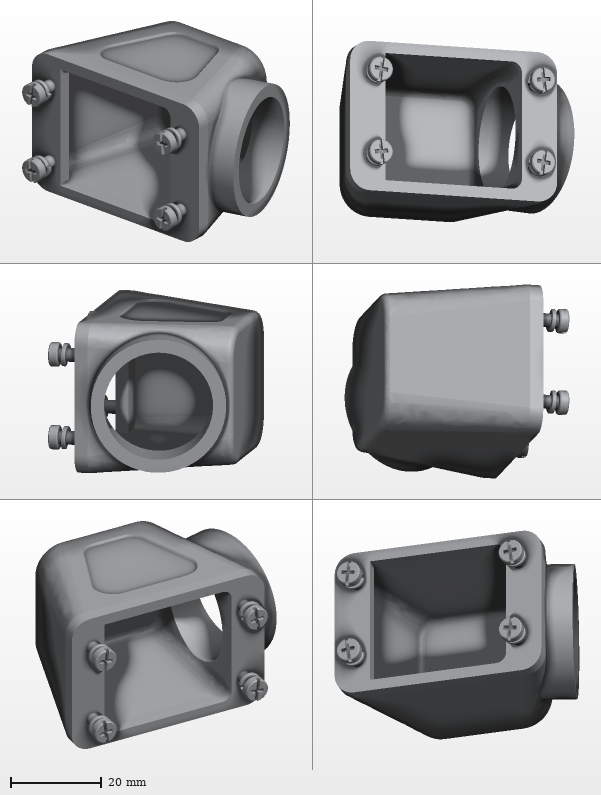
import cadquery as cq
import math

OVERALL_WIDTH = 53.65
FLANGE_WIDTH = 48.0
FLANGE_HEIGHT = 33.8
FLANGE_DEPTH = 3.0
FLANGE_CORNER = 4.55

HOOD_DEPTH = 34.0
SIDE_DRAFT = math.radians(15)
FACE_DRAFT = math.radians(2.6)
HOOD_BACK_CORNER = 7.05
BACK_ROUND = 1.5

WALL = 1.5
MOUTH_HALF_WIDTH = 15.8
MOUTH_HALF_HEIGHT = 14.4
MOUTH_CORNER = 2.3
CAVITY_BACK_HALF_HEIGHT = 13.45
CAVITY_BACK_LEFT = 14.65
CAVITY_BACK_RIGHT = 14.95
CAVITY_BACK_LEFT_CORNER = 4.5
CAVITY_BACK_RIGHT_CORNER = 3.0

PIPE_DIAMETER = 30.0
BORE_DIAMETER = 24.15
PIPE_ROOT_LENGTH = 13.4
BORE_LENGTH = 16.1
PIPE_ROOT_FILLET = 0.55

PANEL_BOTTOM_Y = 6.5
PANEL_TOP_Y = 29.2
PANEL_BOTTOM_HALF_WIDTH = 14.8
PANEL_TOP_HALF_WIDTH = 6.55
PANEL_BOTTOM_CORNER = 5.0
PANEL_TOP_CORNER = 4.0
PANEL_DEPTH = 0.5
PANEL_WALL_TAPER = 45

SCREW_X = 18.85
SCREW_Z = 9.35
SHANK_DIAMETER = 3.05
HEAD_DIAMETER = 5.4
HEAD_HEIGHT = 2.1
SCREW_LENGTH = 6.6
HEAD_CHAMFER = 0.2
DRIVE_TILT = 7.6
DRIVE_DEPTH = 1.05
SLOT_WIDTH = 0.8
CROSS_LENGTH = 3.1
CROSS_WIDTH = 0.9

WASHER_DIAMETER = 5.15
WASHER_THICKNESS = 0.95
WASHER_PITCH = 0.8
WASHER_START = 2.35
WASHER_OVERLAP = 0.25
WASHER_EDGE_ROUND = 0.2
WASHER_TURN = 345 / 360


def mouth_plane(y):
    """Plane parallel to the mouth at depth y, local axes along X and Z, facing -Y."""
    return cq.Workplane("XZ", origin=(0, y, 0))


def rounded_section(y, left, right, half_height, left_corner, right_corner):
    """Closed outline at depth y spanning -left..right, with its own corner radius on each side."""
    arc_inset = 1 - math.sqrt(0.5)
    a = left_corner * arc_inset
    b = right_corner * arc_inset
    h = half_height
    return (
        mouth_plane(y)
        .moveTo(left_corner - left, -h)
        .lineTo(right - right_corner, -h)
        .threePointArc((right - b, b - h), (right, right_corner - h))
        .lineTo(right, h - right_corner)
        .threePointArc((right - b, h - b), (right - right_corner, h))
        .lineTo(left_corner - left, h)
        .threePointArc((a - left, h - a), (-left, h - left_corner))
        .lineTo(-left, left_corner - h)
        .threePointArc((a - left, a - h), (left_corner - left, -h))
        .close()
        .wire()
        .val()
    )


def loft_between(front, back):
    """Straight-sided solid joining two outlines."""
    return cq.Workplane(cq.Solid.makeLoft([front, back], True))


half_width = FLANGE_WIDTH / 2
half_height = FLANGE_HEIGHT / 2
taper_depth = HOOD_DEPTH - FLANGE_DEPTH
back_half_width = half_width - taper_depth * math.tan(SIDE_DRAFT)
back_half_height = half_height - taper_depth * math.tan(FACE_DRAFT)


def make_hood():
    flange = mouth_plane(0).rect(FLANGE_WIDTH, FLANGE_HEIGHT).extrude(-FLANGE_DEPTH)
    flange = flange.edges("|Y").fillet(FLANGE_CORNER)
    shell = loft_between(
        rounded_section(FLANGE_DEPTH, half_width, half_width, half_height, FLANGE_CORNER, FLANGE_CORNER),
        rounded_section(
            HOOD_DEPTH, back_half_width, back_half_width, back_half_height, HOOD_BACK_CORNER, HOOD_BACK_CORNER
        ),
    )
    return flange.union(shell.faces(">Y").edges().fillet(BACK_ROUND))


pipe_axis = cq.Vector(math.cos(SIDE_DRAFT), math.sin(SIDE_DRAFT), 0)
pipe_end_x = OVERALL_WIDTH - half_width - PIPE_DIAMETER / 2 * math.sin(SIDE_DRAFT)
pipe_end_y = HOOD_DEPTH - PIPE_DIAMETER / 2 * math.cos(SIDE_DRAFT)
pipe_end = cq.Plane(origin=(pipe_end_x, pipe_end_y, 0), xDir=(0, 0, 1), normal=pipe_axis.toTuple())


def pipe_cylinder(diameter, length):
    return cq.Workplane(pipe_end).circle(diameter / 2).extrude(-length)


def make_cavity():
    mouth = mouth_plane(0).rect(2 * MOUTH_HALF_WIDTH, 2 * MOUTH_HALF_HEIGHT).extrude(-FLANGE_DEPTH)
    mouth = mouth.edges("|Y and >X").fillet(MOUTH_CORNER)
    cavity_back = HOOD_DEPTH - WALL
    front_left = CAVITY_BACK_LEFT + (cavity_back - FLANGE_DEPTH) * math.tan(SIDE_DRAFT)
    chamber = loft_between(
        rounded_section(
            FLANGE_DEPTH, front_left, MOUTH_HALF_WIDTH, MOUTH_HALF_HEIGHT, MOUTH_CORNER, MOUTH_CORNER
        ),
        rounded_section(
            cavity_back, CAVITY_BACK_LEFT, CAVITY_BACK_RIGHT, CAVITY_BACK_HALF_HEIGHT,
            CAVITY_BACK_LEFT_CORNER, CAVITY_BACK_RIGHT_CORNER,
        ),
    )
    return mouth.union(chamber.faces(">Y").edges().fillet(BACK_ROUND))


def make_panel_recess():
    face_plane = cq.Plane(
        origin=(0, FLANGE_DEPTH, half_height),
        xDir=(1, 0, 0),
        normal=(0, math.sin(FACE_DRAFT), math.cos(FACE_DRAFT)),
    )
    bottom = PANEL_BOTTOM_Y - FLANGE_DEPTH
    top = PANEL_TOP_Y - FLANGE_DEPTH
    outline = (
        cq.Sketch()
        .polygon([
            (-PANEL_BOTTOM_HALF_WIDTH, bottom),
            (PANEL_BOTTOM_HALF_WIDTH, bottom),
            (PANEL_TOP_HALF_WIDTH, top),
            (-PANEL_TOP_HALF_WIDTH, top),
            (-PANEL_BOTTOM_HALF_WIDTH, bottom),
        ])
        .vertices("<Y")
        .fillet(PANEL_BOTTOM_CORNER)
        .reset()
        .vertices(">Y")
        .fillet(PANEL_TOP_CORNER)
    )
    return cq.Workplane(face_plane).placeSketch(outline).extrude(-PANEL_DEPTH, taper=PANEL_WALL_TAPER)


def make_screw():
    """Screw on the Y axis, slot along Z and washer split facing +X."""
    shank = mouth_plane(FLANGE_DEPTH / 2).circle(SHANK_DIAMETER / 2)
    shank = shank.extrude(FLANGE_DEPTH / 2 + SCREW_LENGTH - HEAD_HEIGHT)
    head = mouth_plane(HEAD_HEIGHT - SCREW_LENGTH).circle(HEAD_DIAMETER / 2).extrude(HEAD_HEIGHT)
    head = head.faces("<Y or >Y").edges().chamfer(HEAD_CHAMFER)
    slot = mouth_plane(-SCREW_LENGTH).rect(SLOT_WIDTH, 2 * HEAD_DIAMETER).extrude(-DRIVE_DEPTH)
    cross = mouth_plane(-SCREW_LENGTH).rect(CROSS_LENGTH, CROSS_WIDTH).extrude(-DRIVE_DEPTH)
    return shank.union(head.cut(slot).cut(cross)).union(make_washer())


def make_washer():
    inner = SHANK_DIAMETER / 2 - WASHER_OVERLAP
    outer = WASHER_DIAMETER / 2
    middle = (inner + outer) / 2
    path = cq.Wire.makeHelix(WASHER_PITCH, WASHER_PITCH * WASHER_TURN, middle, lefthand=True)
    section = cq.Sketch().rect(outer - inner, WASHER_THICKNESS).vertices().fillet(WASHER_EDGE_ROUND)
    coil = (
        cq.Workplane("XZ")
        .center(middle, 0)
        .placeSketch(section)
        .sweep(cq.Workplane(path), isFrenet=True)
    )
    coil_start = WASHER_START + WASHER_THICKNESS / 2
    return coil.rotate((0, 0, 0), (1, 0, 0), 90).translate((0, -coil_start, 0))


hood = make_hood().union(pipe_cylinder(PIPE_DIAMETER, PIPE_ROOT_LENGTH))
pipe_wall = hood.faces("%CYLINDER").faces(">X")
hood = hood.newObject(pipe_wall.vals()).edges("%BSPLINE").fillet(PIPE_ROOT_FILLET)
hood = hood.cut(make_cavity()).cut(pipe_cylinder(BORE_DIAMETER, BORE_LENGTH)).cut(make_panel_recess())

base_screw = make_screw()
result = hood
for side in (-1, 1):
    for level in (-1, 1):
        half_turn = 90 * (1 + side)
        turn = half_turn - side * level * DRIVE_TILT
        screw = base_screw.rotate((0, 0, 0), (0, 1, 0), turn)
        result = result.union(screw.translate((side * SCREW_X, 0, level * SCREW_Z)))